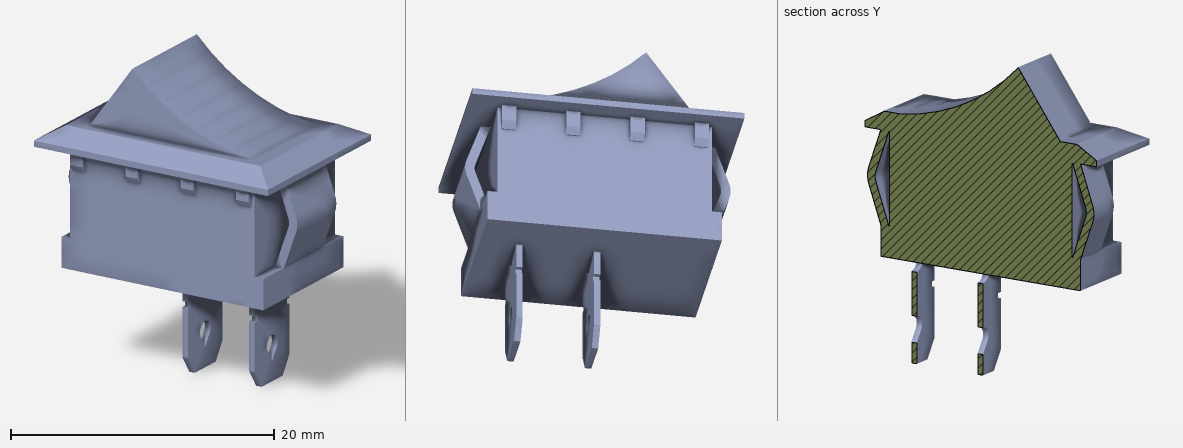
import cadquery as cq
import math


flange_length = 21.0
flange_width = 14.8
rim_height = 0.5
bevel_inset = 1.8
bevel_angle = 30.0
flange_top = rim_height + bevel_inset * math.tan(math.radians(bevel_angle))

base_length = 18.1
housing_width = 11.5
housing_depth = 10.0
neck_depth = 7.5
clip_thickness = 0.78
neck_length = base_length - 2 * clip_thickness

clip_width = 5.6
clip_reach = 1.32
clip_outer_radius = 2.0
clip_inner_radius = clip_outer_radius - clip_thickness

rib_count = 4
rib_pitch = 4.96
rib_width = 1.1
rib_height = 1.9
rib_protrusion = 0.45
rib_chamfer_height = 0.55
rib_chamfer_depth = 0.35

rocker_length = 14.4
rocker_width = 9.25
rocker_peak_x = -3.4
rocker_peak_z = 6.8
rocker_sag_x = 1.28
rocker_sag_z = 3.3

terminal_positions = (0.0, 6.0)
terminal_thickness = 0.5
terminal_width = 5.0
terminal_length = 8.0
terminal_tip_width = 3.0
terminal_tip_height = 1.5
notch_depth = 0.4
notch_height = 0.5
notch_offset = 2.0
hole_radius = 0.75
hole_offset = 5.0
hole_point_drop = 1.33


def make_flange():
    rim = cq.Workplane("XY").box(flange_length, flange_width, rim_height, centered=(True, True, False))
    bevel = (
        cq.Workplane("XY", origin=(0, 0, rim_height))
        .rect(flange_length, flange_width)
        .extrude(flange_top - rim_height, taper=90 - bevel_angle)
    )
    return rim.union(bevel)


def make_housing():
    neck = (
        cq.Workplane("XY", origin=(0, 0, -neck_depth))
        .box(neck_length, housing_width, neck_depth, centered=(True, True, False))
    )
    base = (
        cq.Workplane("XY", origin=(0, 0, -housing_depth))
        .box(base_length, housing_width, housing_depth - neck_depth, centered=(True, True, False))
    )
    return neck.union(base)


def make_clip():
    """Clip at the +X end: a V-shaped strip with a rounded bend."""
    inner_x = neck_length / 2
    outer_x = base_length / 2
    bend_z = -neck_depth / 2
    strip = (
        cq.Workplane("XZ")
        .moveTo(inner_x, 0)
        .lineTo(outer_x, 0)
        .lineTo(outer_x + clip_reach, bend_z)
        .lineTo(outer_x, -neck_depth)
        .lineTo(inner_x, -neck_depth)
        .lineTo(inner_x + clip_reach, bend_z)
        .close()
        .extrude(clip_width / 2, both=True)
    )
    strip = strip.edges(">X").fillet(clip_outer_radius)
    inner_bend = cq.selectors.NearestToPointSelector((inner_x + clip_reach, 0, bend_z))
    return strip.edges("|Y").edges(inner_bend).fillet(clip_inner_radius)


def make_rib(x):
    """Rib on the -Y side with its lower outer corner cut off."""
    wall_y = -housing_width / 2
    outer_y = wall_y - rib_protrusion
    return (
        cq.Workplane("YZ", origin=(x, 0, 0))
        .moveTo(0, 0)
        .lineTo(outer_y, 0)
        .lineTo(outer_y, -rib_height + rib_chamfer_height)
        .lineTo(outer_y + rib_chamfer_depth, -rib_height)
        .lineTo(0, -rib_height)
        .close()
        .extrude(rib_width / 2, both=True)
    )


def make_rocker():
    half_length = rocker_length / 2
    return (
        cq.Workplane("XZ")
        .moveTo(-half_length, flange_top)
        .lineTo(-half_length, rim_height)
        .lineTo(half_length, rim_height)
        .lineTo(half_length, flange_top)
        .threePointArc((rocker_sag_x, rocker_sag_z), (rocker_peak_x, rocker_peak_z))
        .close()
        .extrude(rocker_width / 2, both=True)
    )


def make_terminal(x):
    """Blade with a pointed tip, two edge notches, a drop-shaped hole and a half-round opening."""
    top_z = -housing_depth
    tip_z = top_z - terminal_length
    half_width = terminal_width / 2
    half_tip = terminal_tip_width / 2
    plane = cq.Workplane("YZ", origin=(x, 0, 0))
    half_thickness = terminal_thickness / 2

    blade = (
        plane.moveTo(-half_width, top_z)
        .lineTo(half_width, top_z)
        .lineTo(half_width, tip_z + terminal_tip_height)
        .lineTo(half_tip, tip_z)
        .lineTo(-half_tip, tip_z)
        .lineTo(-half_width, tip_z + terminal_tip_height)
        .close()
        .extrude(half_thickness, both=True)
    )

    notches = (
        plane.pushPoints([
            (side * half_width, top_z - notch_offset - notch_height / 2)
            for side in (-1, 1)
        ])
        .rect(2 * notch_depth, notch_height)
        .extrude(half_thickness, both=True)
    )

    top_opening = plane.center(0, top_z).circle(hole_radius).extrude(half_thickness, both=True)

    tangent_angle = math.asin(hole_radius / hole_point_drop)
    tangent_y = hole_radius * math.cos(tangent_angle)
    tangent_z = -hole_radius * math.sin(tangent_angle)
    drop_hole = (
        plane.center(0, top_z - hole_offset)
        .moveTo(0, -hole_point_drop)
        .lineTo(tangent_y, tangent_z)
        .threePointArc((0, hole_radius), (-tangent_y, tangent_z))
        .close()
        .extrude(half_thickness, both=True)
    )
    return blade.cut(notches).cut(top_opening).cut(drop_hole)


result = make_flange().union(make_housing()).union(make_rocker())

clip = make_clip()
result = result.union(clip).union(clip.mirror("YZ"))

for index in range(rib_count):
    rib = make_rib((index - (rib_count - 1) / 2) * rib_pitch)
    result = result.union(rib).union(rib.mirror("XZ"))

for position in terminal_positions:
    result = result.union(make_terminal(position))